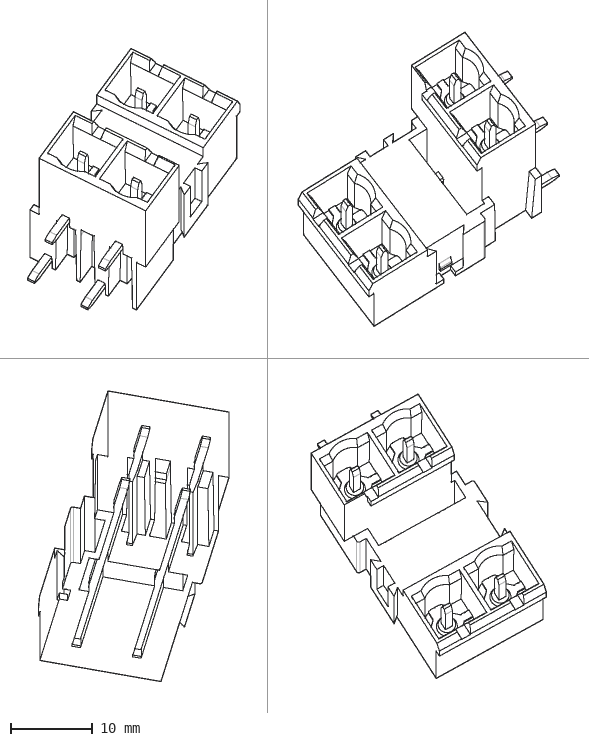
import cadquery as cq


PITCH = 7.63
POLES = 2
ROW_LENGTH = POLES * PITCH
ROW_BACK = 7.95
LIP_BACK = 8.73
LIP_TOP_BACK = 8.15
LIP_CHAMFER_DROP = 1.35
LIP_DROP = 3.0
PIN_BACK = 4.1
LOW_TOP = 12.0
STEP = 10.15
TALL_TOP = LOW_TOP + STEP
TALL_X = 2.5
LOW_Y = 17.83
LIP_END_X = 14.43

END_WALL = 0.5
POCKET_WIDTH = 6.83
POCKET_FRONT = 1.2
POCKET_BACK = 7.78
LEAD_IN = 0.58
LEAD_IN_DROP = 1.53
SIDE_DRAFT = 0.1
POCKET_DEPTH = 8.27
BULGE_RADIUS = 3.3
BULGE_BACK = 3.85
KEY_WIDTH = 1.23
KEY_TOP_WIDTH = 1.8
PAD_HEIGHT = 0.3
PAD_SIDE_ARM = 0.5
PAD_BACK_ARM = 0.43
PAD_FRONT_ARM = 0.98
PAD_CORNER = 2.17
PAD_FRONT_CORNER = 1.62
COLLAR_RADIUS = 1.3
COLLAR_TOP_RADIUS = 1.07
COLLAR_HEIGHT = 0.6

PIN = 1.0
PIN_AXIS_Z = 1.9
PIN_TIP_Y = -4.07
PIN_TIP_DROP = 1.25
TIP_LENGTH = 1.1
TIP_BEVEL = 0.3
SLOT_WIDTH = 1.1
TALL_SLOT_BACK_WIDTH = 0.75
SLOT_TAPER_LENGTH = 2.45
SLOT_BEVEL = 0.15

BASE_LEFT = 1.2
BASE_RIGHT = 16.45
BASE_RIGHT_BACK = 9.0
CORNER_Y = 9.1
CORNER_RADIUS = 0.3
GAP_LEFT = 2.02
GAP_RIGHT = 14.43
GAP_BACK = 10.6
HOOK_TOP_Y = 7.0
HOOK_BOTTOM_Y = 6.9
POST_TOP_Y = 0.95
POST_BOTTOM_Y = 1.5

RECESS_DEPTH = 2.75
RECESS_TOP = 10.57
RECESS_DRAFT = 0.12
PIN_RECESSES = ((5.0, 7.75), (12.55, 15.75))
MIDDLE_RECESS = (8.5, 10.38)
MIDDLE_RECESS_TOP = 11.27
UPPER_END_DEPTH = 2.15

GAP_RECESS_RIGHT = 4.25
GAP_RECESS_TOP = 9.25

DOVETAIL_Y = 14.52
DOVETAIL_NECK = 3.98
DOVETAIL_WIDTH = 5.67
GROOVE_DEPTH = 1.05
GROOVE_FLOOR = 1.1
TONGUE_DEPTH = 0.98
TONGUE_POCKET = 2.65
NOTCH_WIDTH = 1.7
CATCH_REACH = 0.3
CATCH_EDGE = 0.1
CATCH_BOTTOM = 2.02
CATCH_FLAT_TOP = 2.5
CATCH_RAMP_BOTTOM = 2.75
CATCH_TOP = 3.65


def box(x0, x1, y0, y1, z0, z1):
    return cq.Workplane("XY").box(x1 - x0, y1 - y0, z1 - z0, centered=False).translate((x0, y0, z0))


def extrude_x(points, x0, x1):
    """Prism along X over a (y, z) outline."""
    return cq.Workplane("YZ").polyline(points).close().extrude(x1 - x0).translate((x0, 0, 0))


def extrude_y(points, y0, y1):
    """Prism along Y over an (x, z) outline."""
    return cq.Workplane("XZ").polyline(points).close().extrude(y0 - y1).translate((0, y0, 0))


def extrude_z(points, z0, z1):
    """Prism along Z over an (x, y) outline."""
    return cq.Workplane("XY").polyline(points).close().extrude(z1 - z0).translate((0, 0, z0))


def cone(center_y, z_bottom, r_bottom, z_top, r_top):
    """Upright round frustum; equal radii give a cylinder."""
    outline = [(0, z_bottom), (r_bottom, z_bottom), (r_top, z_top), (0, z_top)]
    profile = cq.Workplane("XZ").polyline(outline).close()
    return profile.revolve(360, (0, 0), (0, 1)).translate((0, center_y, 0))


def row_pin_x(pole):
    return (pole + 0.5) * PITCH


def socket_space(pole):
    """Empty space of one socket; row coordinates with Z = 0 at the top of the row."""
    left = END_WALL if pole == 0 else ROW_LENGTH - END_WALL - POCKET_WIDTH
    right = left + POCKET_WIDTH
    axis = row_pin_x(pole)
    front = POCKET_FRONT + LEAD_IN
    back = POCKET_BACK - LEAD_IN
    side_outline = [
        (left + SIDE_DRAFT, -POCKET_DEPTH),
        (right - SIDE_DRAFT, -POCKET_DEPTH),
        (right, 0),
        (left, 0),
    ]
    shaft = extrude_y(side_outline, front, back)
    mouth_outline = [(POCKET_FRONT, 0), (POCKET_BACK, 0), (back, -LEAD_IN_DROP), (front, -LEAD_IN_DROP)]
    mouth = extrude_x(mouth_outline, left, right).intersect(extrude_y(side_outline, 0, LIP_BACK))

    inner_radius = BULGE_RADIUS - LEAD_IN
    bulge = cone(BULGE_BACK, -POCKET_DEPTH, inner_radius, -LEAD_IN_DROP, inner_radius)
    bulge = bulge.union(cone(BULGE_BACK, -LEAD_IN_DROP, inner_radius, 0, BULGE_RADIUS))
    bulge = bulge.translate((axis, 0, 0)).intersect(box(left, right, 0, PIN_BACK, -POCKET_DEPTH, 0))

    low, high = KEY_WIDTH / 2, KEY_TOP_WIDTH / 2
    key_outline = [(-low, -LEAD_IN_DROP), (low, -LEAD_IN_DROP), (high, 0), (-high, 0)]
    key = extrude_y(key_outline, back, LIP_BACK).translate((axis, 0, 0))
    return shaft.union(mouth).union(bulge).union(key)


def socket_floor(pole):
    """Star-shaped pad and pin collar on the floor of one socket."""
    front = POCKET_FRONT + LEAD_IN - PIN_BACK
    back = POCKET_BACK - LEAD_IN - PIN_BACK
    side = POCKET_WIDTH / 2
    right_half = [
        (PAD_BACK_ARM, back),
        (PAD_BACK_ARM, PAD_CORNER),
        (PAD_CORNER, PAD_SIDE_ARM),
        (side, PAD_SIDE_ARM),
        (side, -PAD_SIDE_ARM),
        (PAD_CORNER, -PAD_SIDE_ARM),
        (PAD_FRONT_ARM, -PAD_FRONT_CORNER),
        (PAD_FRONT_ARM, front - LEAD_IN),
    ]
    left_half = [(-x, y) for x, y in reversed(right_half)]
    pad = extrude_z(right_half + left_half, 0, PAD_HEIGHT).translate((0, PIN_BACK, 0))
    collar = cone(PIN_BACK, PAD_HEIGHT, COLLAR_RADIUS, PAD_HEIGHT + COLLAR_HEIGHT, COLLAR_TOP_RADIUS)
    return pad.union(collar).translate((row_pin_x(pole), 0, -POCKET_DEPTH))


def socket_row(lip_length):
    """Row of sockets with its locking lip; Z = 0 at the top of the row."""
    body = box(0, ROW_LENGTH, 0, ROW_BACK, -LOW_TOP, 0)
    lip_outline = [
        (PIN_BACK, 0),
        (LIP_TOP_BACK, 0),
        (LIP_BACK, -LIP_CHAMFER_DROP),
        (LIP_BACK, -LIP_DROP),
        (PIN_BACK, -LIP_DROP),
    ]
    row = body.union(extrude_x(lip_outline, 0, lip_length))
    for pole in range(POLES):
        row = row.cut(socket_space(pole)).union(socket_floor(pole))
    return row


def pin(x, y, row_bottom):
    """Bent pin: an upright contact at (x, y) and a leg running out of the front."""
    half = PIN / 2
    narrow = half - TIP_BEVEL
    axis_z = row_bottom + PIN_AXIS_Z
    top = row_bottom + LOW_TOP - PIN_TIP_DROP
    outline = [
        (PIN_TIP_Y, axis_z - narrow),
        (PIN_TIP_Y + TIP_LENGTH, axis_z - half),
        (y + half, axis_z - half),
        (y + half, top - TIP_LENGTH),
        (y + narrow, top),
        (y - narrow, top),
        (y - half, top - TIP_LENGTH),
        (y - half, axis_z + half),
        (PIN_TIP_Y + TIP_LENGTH, axis_z + half),
        (PIN_TIP_Y, axis_z + narrow),
    ]
    return extrude_x(outline, x - half, x + half)


def pin_slot(x, y, row_bottom, back_width):
    """Slot below a pin, open at the front and bottom, with a beveled lower back edge."""
    back = y + PIN / 2
    wide, slim = SLOT_WIDTH / 2, back_width / 2
    top = row_bottom + PIN_AXIS_Z
    taper_start = back - SLOT_TAPER_LENGTH
    plan = [
        (x - wide, 0),
        (x + wide, 0),
        (x + wide, taper_start),
        (x + slim, back),
        (x - slim, back),
        (x - wide, taper_start),
    ]
    bevel = extrude_x([(back, SLOT_BEVEL), (back, 0), (back + SLOT_BEVEL, 0)], x - slim, x + slim)
    return extrude_z(plan, 0, top).union(bevel)


def base():
    """Low body, its arms beside the gap, and the foot of the tall row."""
    low_body = box(0, ROW_LENGTH, GAP_BACK, LOW_Y, 0, STEP)
    left_arm = box(0, GAP_LEFT, CORNER_Y, GAP_BACK, 0, STEP)
    left_arm = left_arm.edges("|Z and <X and <Y").fillet(CORNER_RADIUS)
    right_arm = box(GAP_RIGHT, ROW_LENGTH, ROW_BACK, GAP_BACK, 0, STEP)
    foot = box(TALL_X, BASE_RIGHT, 0, ROW_BACK, 0, STEP)
    foot_corner = box(GAP_RIGHT, BASE_RIGHT, ROW_BACK, BASE_RIGHT_BACK, 0, STEP)
    foot_corner = foot_corner.edges("|Z and >X and >Y").fillet(CORNER_RADIUS)
    hook_outline = [(HOOK_BOTTOM_Y, 0), (ROW_BACK, 0), (ROW_BACK, STEP), (HOOK_TOP_Y, STEP)]
    hook = extrude_x(hook_outline, BASE_LEFT, TALL_X)
    hook_arm = box(BASE_LEFT, GAP_LEFT, ROW_BACK, CORNER_Y, 0, STEP)
    post = extrude_x([(0, 0), (POST_BOTTOM_Y, 0), (POST_TOP_Y, STEP), (0, STEP)], BASE_LEFT, TALL_X)
    body = low_body
    for piece in (left_arm, right_arm, foot, foot_corner, hook, hook_arm, post):
        body = body.union(piece)
    return body


def recess_outline(limits, top):
    left, right = limits
    return [(left - RECESS_DRAFT, 0), (right + RECESS_DRAFT, 0), (right, top), (left, top)]


def front_recesses():
    """Drafted recesses in the front face; the middle one has a shallower upper end."""
    left, right = MIDDLE_RECESS
    upper_end = box(left, right, 0, UPPER_END_DEPTH, STEP, MIDDLE_RECESS_TOP)
    recesses = extrude_y(recess_outline(MIDDLE_RECESS, STEP), 0, RECESS_DEPTH).union(upper_end)
    for limits in PIN_RECESSES:
        recesses = recesses.union(extrude_y(recess_outline(limits, RECESS_TOP), 0, RECESS_DEPTH))
    return recesses


def gap_recess():
    """Recess beside the left low pin, in the back wall of the gap."""
    return box(GAP_LEFT, GAP_RECESS_RIGHT, GAP_BACK, GAP_BACK + RECESS_DEPTH, 0, GAP_RECESS_TOP)


def dovetail_plan(x, depth):
    neck, wide = DOVETAIL_NECK / 2, DOVETAIL_WIDTH / 2
    return [
        (x, DOVETAIL_Y - neck),
        (x + depth, DOVETAIL_Y - wide),
        (x + depth, DOVETAIL_Y + wide),
        (x, DOVETAIL_Y + neck),
    ]


def dovetail_groove():
    """Groove in the left side, with an opening through its floor."""
    groove = extrude_z(dovetail_plan(0, GROOVE_DEPTH), GROOVE_FLOOR, STEP)
    half = NOTCH_WIDTH / 2
    return groove.union(box(0, GROOVE_DEPTH, DOVETAIL_Y - half, DOVETAIL_Y + half, 0, GROOVE_FLOOR))


def catch():
    """Snap catch on the back wall of the groove."""
    face = GROOVE_DEPTH - CATCH_REACH
    outline = [
        (GROOVE_DEPTH, CATCH_BOTTOM),
        (GROOVE_DEPTH, CATCH_TOP),
        (face + CATCH_EDGE, CATCH_RAMP_BOTTOM),
        (face, CATCH_FLAT_TOP),
        (face, CATCH_BOTTOM),
    ]
    half = NOTCH_WIDTH / 2
    return extrude_y(outline, DOVETAIL_Y - half, DOVETAIL_Y + half)


def dovetail_tongue():
    """Tongue on the right side, with a pocket sunk from its top to the level of the catch."""
    tongue = extrude_z(dovetail_plan(ROW_LENGTH, TONGUE_DEPTH), GROOVE_FLOOR, STEP)
    half = TONGUE_POCKET / 2
    pocket = box(ROW_LENGTH, ROW_LENGTH + TONGUE_DEPTH, DOVETAIL_Y - half, DOVETAIL_Y + half, CATCH_TOP, STEP)
    return tongue.cut(pocket)


tall_lip_length = LIP_END_X - TALL_X
low_row = socket_row(ROW_LENGTH).translate((0, LOW_Y, LOW_TOP))
tall_row = socket_row(tall_lip_length).translate((TALL_X, 0, TALL_TOP))
body = base().union(low_row).union(tall_row)
body = body.cut(front_recesses())
body = body.cut(gap_recess())
body = body.cut(dovetail_groove()).union(catch()).union(dovetail_tongue())

ROWS = ((0, LOW_Y + PIN_BACK, 0, SLOT_WIDTH), (TALL_X, PIN_BACK, STEP, TALL_SLOT_BACK_WIDTH))
for row_x, axis_y, row_bottom, back_width in ROWS:
    for pole in range(POLES):
        x = row_x + row_pin_x(pole)
        body = body.cut(pin_slot(x, axis_y, row_bottom, back_width)).union(pin(x, axis_y, row_bottom))

result = body